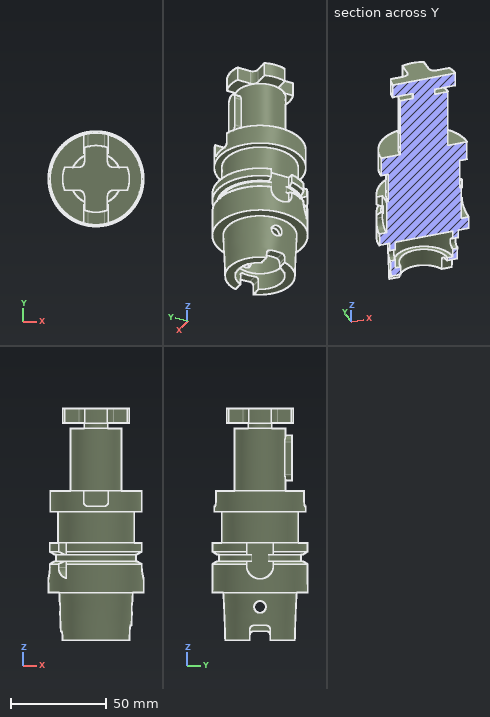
import cadquery as cq

FLANGE_BOTTOM = 25.0
GROOVE_BOTTOM = 41.4
GROOVE_TOP = 45.0
FLANGE_TOP = 51.0
COLLAR_BOTTOM = 67.3
COLLAR_TOP = 78.2
PILOT_TOP = 111.0
HEAD_BOTTOM = 113.7
TOTAL_HEIGHT = 121.5

SHANK_END_RADIUS = 18.3
SHANK_TOP_RADIUS = 19.3
FLANGE_RADIUS = 25.0
GROOVE_RADIUS = 21.5
GROOVE_MOUTH_RADIUS = 22.6
GROOVE_CHAMFER_HEIGHT = 1.5
NECK_RADIUS = 20.0
COLLAR_RADIUS = 24.0
PILOT_RADIUS = 13.5
SCREW_RADIUS = 6.2

MOUTH_RADIUS = 13.0
CHAMBER_RADIUS = 16.0
CHAMBER_BOTTOM = 9.7
CHAMBER_TOP = FLANGE_BOTTOM

HEAD_RADIUS = 17.5
HEAD_ARM_WIDTH = 12.0
HEAD_CORNER_RADIUS = 3.0
INNER_CORNER_REACH = 0.6

KEY_WIDTH = 7.0
KEY_BOTTOM = 83.6
KEY_TOP = 107.5
KEY_OUTER_Y = 16.8

COLLAR_SLOT_WIDTH = 12.9
COLLAR_SLOT_FLOOR = 70.2
COLLAR_SLOT_FILLET = 2.2

SLOT_FLOOR_X = 21.0
SLOT_END_HEIGHT = 32.2
LEFT_SLOT_RADIUS = 6.1
RIGHT_SLOT_RADIUS = 7.0
CORNER_NOTCH_OFFSET = 15.5

CROSS_HOLE_RADIUS = 3.0
CROSS_HOLE_HEIGHT = 17.5
NOTCH_WIDTH = 10.6
NOTCH_FILLET = 2.0
LEFT_NOTCH_HEIGHT = 4.7
RIGHT_NOTCH_HEIGHT = 7.8


def box_between(x_range, y_range, z_range):
    """Axis-aligned box spanning the given (low, high) ranges."""
    size = [high - low for low, high in (x_range, y_range, z_range)]
    corner = (x_range[0], y_range[0], z_range[0])
    return cq.Workplane("XY").box(*size, centered=False).translate(corner)


def turned_body():
    """Revolved profile from the taper shank up to the screw neck."""
    profile = [
        (0, 0),
        (SHANK_END_RADIUS, 0),
        (SHANK_TOP_RADIUS, FLANGE_BOTTOM),
        (FLANGE_RADIUS, FLANGE_BOTTOM),
        (FLANGE_RADIUS, GROOVE_BOTTOM - GROOVE_CHAMFER_HEIGHT),
        (GROOVE_MOUTH_RADIUS, GROOVE_BOTTOM),
        (GROOVE_RADIUS, GROOVE_BOTTOM),
        (GROOVE_RADIUS, GROOVE_TOP),
        (GROOVE_MOUTH_RADIUS, GROOVE_TOP),
        (FLANGE_RADIUS, GROOVE_TOP + GROOVE_CHAMFER_HEIGHT),
        (FLANGE_RADIUS, FLANGE_TOP),
        (NECK_RADIUS, FLANGE_TOP),
        (NECK_RADIUS, COLLAR_BOTTOM),
        (COLLAR_RADIUS, COLLAR_BOTTOM),
        (COLLAR_RADIUS, COLLAR_TOP),
        (PILOT_RADIUS, COLLAR_TOP),
        (PILOT_RADIUS, PILOT_TOP),
        (SCREW_RADIUS, PILOT_TOP),
        (SCREW_RADIUS, HEAD_BOTTOM),
        (0, HEAD_BOTTOM),
    ]
    return cq.Workplane("XZ").polyline(profile).close().revolve(360, (0, 0), (0, 1))


def cross_head():
    """Four-armed head with rounded inner corners and arc-shaped arm ends."""
    thickness = TOTAL_HEIGHT - HEAD_BOTTOM
    base = cq.Workplane("XY").workplane(offset=HEAD_BOTTOM)
    arm_x = base.rect(2 * HEAD_RADIUS, HEAD_ARM_WIDTH).extrude(thickness)
    arm_y = base.rect(HEAD_ARM_WIDTH, 2 * HEAD_RADIUS).extrude(thickness)
    inner = INNER_CORNER_REACH * HEAD_ARM_WIDTH
    inner_corners = cq.selectors.BoxSelector((-inner, -inner, 0), (inner, inner, TOTAL_HEIGHT))
    cross = arm_x.union(arm_y).edges("|Z").edges(inner_corners).fillet(HEAD_CORNER_RADIUS)
    return cross.intersect(base.circle(HEAD_RADIUS).extrude(thickness))


def feather_key():
    """Key with full-round ends, standing out of the pilot toward +Y."""
    length = KEY_TOP - KEY_BOTTOM
    return (
        cq.Workplane("XZ", origin=(0, 0, (KEY_BOTTOM + KEY_TOP) / 2))
        .slot2D(length, KEY_WIDTH, 90)
        .extrude(-KEY_OUTER_Y)
    )


def collar_slot(side):
    """Cutter for one drive slot; side is -1 for -Y and +1 for +Y."""
    half_width = COLLAR_SLOT_WIDTH / 2
    y_range = sorted((side * PILOT_RADIUS, side * FLANGE_RADIUS))
    cutter = box_between((-half_width, half_width), y_range, (COLLAR_SLOT_FLOOR, COLLAR_TOP))
    return cutter.edges("|Y and <Z").fillet(COLLAR_SLOT_FILLET)


def flange_slot(x_range, y_centre, radius):
    """Cutter running along X, open at the flange top with a half-round lower end."""
    arc_height = SLOT_END_HEIGHT + radius
    return (
        cq.Workplane("YZ", origin=(x_range[0], 0, 0))
        .moveTo(y_centre - radius, FLANGE_TOP)
        .lineTo(y_centre - radius, arc_height)
        .threePointArc((y_centre, SLOT_END_HEIGHT), (y_centre + radius, arc_height))
        .lineTo(y_centre + radius, FLANGE_TOP)
        .close()
        .extrude(x_range[1] - x_range[0])
    )


def shank_bore():
    """Cutter for the narrow mouth and the wider chamber above it."""
    mouth = cq.Workplane("XY").circle(MOUTH_RADIUS).extrude(CHAMBER_BOTTOM)
    chamber = (
        cq.Workplane("XY")
        .workplane(offset=CHAMBER_BOTTOM)
        .circle(CHAMBER_RADIUS)
        .extrude(CHAMBER_TOP - CHAMBER_BOTTOM)
    )
    return mouth.union(chamber)


def shank_notch(x_range, height):
    """Cutter for an end notch with rounded upper corners."""
    half_width = NOTCH_WIDTH / 2
    cutter = box_between(x_range, (-half_width, half_width), (0, height))
    return cutter.edges("|X and >Z").fillet(NOTCH_FILLET)


body = turned_body().union(cross_head()).union(feather_key())

for side in (-1, 1):
    body = body.cut(collar_slot(side))

body = body.cut(flange_slot((-FLANGE_RADIUS, -SLOT_FLOOR_X), 0, LEFT_SLOT_RADIUS))
body = body.cut(flange_slot((SLOT_FLOOR_X, FLANGE_RADIUS), 0, RIGHT_SLOT_RADIUS))

corner_notch_y = -CORNER_NOTCH_OFFSET - LEFT_SLOT_RADIUS
body = body.cut(flange_slot((-FLANGE_RADIUS, -CORNER_NOTCH_OFFSET), corner_notch_y, LEFT_SLOT_RADIUS))

body = body.cut(shank_bore())

cross_hole = (
    cq.Workplane("YZ", origin=(-FLANGE_RADIUS, 0, CROSS_HOLE_HEIGHT))
    .circle(CROSS_HOLE_RADIUS)
    .extrude(2 * FLANGE_RADIUS)
)
body = body.cut(cross_hole)

body = body.cut(shank_notch((-FLANGE_RADIUS, 0), LEFT_NOTCH_HEIGHT))
body = body.cut(shank_notch((0, FLANGE_RADIUS), RIGHT_NOTCH_HEIGHT))

result = body